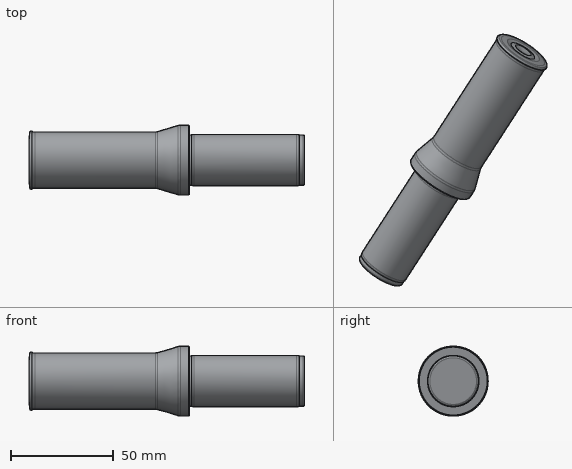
import cadquery as cq

total_length = 134.0
face_edge_setback = 0.3
rim_shoulder_setback = 0.4
rim_rounding_middle = 0.7
rim_start = 1.3
rim_end = 1.6
rim_blend_end = 3.0
flare_start = 62.0
flange_start = 73.0
flange_end = 78.1
flange_chamfer = 0.5
lead_in_start = 78.9
lead_in_blend = 0.4
lead_in_length = 1.0
tip_land_length = 2.5
tip_fillet = 1.0
flare_root_fillet = 4.0
flare_crown_fillet = 4.0

barrel_radius = 27.5 / 2
rim_radius = 14.2
rim_rounding_middle_radius = 14.0
rim_blend_radius = 13.8
rim_shoulder_radius = 13.5
face_edge_radius = 24.5 / 2
flange_radius = 34.0 / 2
shank_radius = 25.0 / 2
relief_radius = 24.5 / 2
lead_in_depth = 0.1

outer_ridge_radius = 9.1
valley_radius = 6.7
inner_ridge_radius = 4.4
wave_depth = 0.4
centre_depth = 0.8


def revolve_about_x(profile):
    """Turn a closed XY half-profile into a solid of revolution about X."""
    return profile.close().revolve(360, (0, 0, 0), (1, 0, 0))


def round_ring_edges(body, x, radius):
    """Fillet the circular edge at position x where the flare meets a cylinder."""
    margin = 0.01
    reach = 2 * flange_radius
    ring_box = cq.selectors.BoxSelector((x - margin, -reach, -reach), (x + margin, reach, reach))
    return body.edges("%CIRCLE").edges(ring_box).fillet(radius)


def make_barrel():
    """Barrel with a wavy rimmed rear face, flaring out to a flange."""
    rim_blend_middle = (
        (rim_end + rim_blend_end) / 2,
        barrel_radius + (rim_blend_radius - barrel_radius) / 4,
    )
    body = revolve_about_x(
        cq.Workplane("XY")
        .moveTo(centre_depth, 0)
        .lineTo(0, inner_ridge_radius)
        .lineTo(wave_depth, valley_radius)
        .lineTo(0, outer_ridge_radius)
        .lineTo(face_edge_setback, face_edge_radius)
        .lineTo(rim_shoulder_setback, rim_shoulder_radius)
        .threePointArc((rim_rounding_middle, rim_rounding_middle_radius), (rim_start, rim_radius))
        .lineTo(rim_end, rim_radius)
        .lineTo(rim_end, rim_blend_radius)
        .threePointArc(rim_blend_middle, (rim_blend_end, barrel_radius))
        .lineTo(flare_start, barrel_radius)
        .lineTo(flange_start, flange_radius)
        .lineTo(flange_end - flange_chamfer, flange_radius)
        .lineTo(flange_end, flange_radius - flange_chamfer)
        .lineTo(flange_end, 0)
    )
    body = round_ring_edges(body, flare_start, flare_root_fillet)
    return round_ring_edges(body, flange_start, flare_crown_fillet)


def make_shank():
    """Shank seated on the flange, with a relieved neck and tip and matching lead-ins."""
    lead_in_radius = shank_radius - lead_in_depth
    lead_in_end = total_length - tip_land_length
    body = revolve_about_x(
        cq.Workplane("XY")
        .moveTo(flange_end, 0)
        .lineTo(flange_end, relief_radius)
        .lineTo(lead_in_start, relief_radius)
        .lineTo(lead_in_start + lead_in_blend, lead_in_radius)
        .lineTo(lead_in_start + lead_in_blend + lead_in_length, shank_radius)
        .lineTo(lead_in_end - lead_in_blend - lead_in_length, shank_radius)
        .lineTo(lead_in_end - lead_in_blend, lead_in_radius)
        .lineTo(lead_in_end, relief_radius)
        .lineTo(total_length, relief_radius)
        .lineTo(total_length, 0)
    )
    return body.faces(">X").edges().fillet(tip_fillet)


barrel = make_barrel()
shank = make_shank()
result = cq.Compound.makeCompound([barrel.val(), shank.val()])